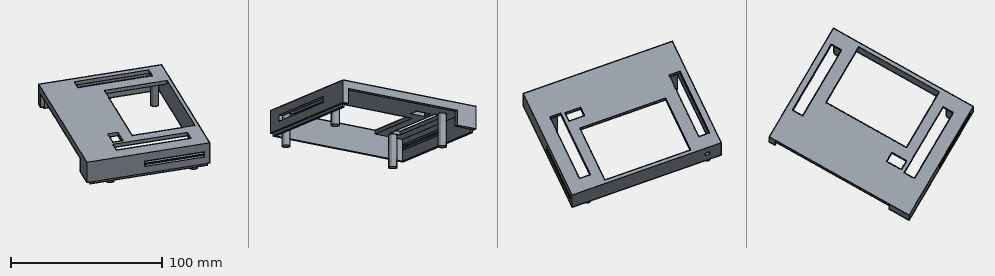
import cadquery as cq

LENGTH = 106.7
WIDTH = 85.1
SHELL_HEIGHT = 15.6
WALL = 2.7
PLATE = 2.7

LIP_SETBACK = 1.2
LIP_HEIGHT = 2.1

FRONT_OPENING_LEFT = 4.4
FRONT_OPENING_RIGHT = 91.5
FRONT_OPENING_DEPTH = 5.3

TOTAL_HEIGHT = 25.1
POST_DIAMETER = 5.5
POST_X = (7.6, 93.2)
POST_Y = (20.2, 77.9)

SLOT_WIDTH = 7.8
SLOT_LEFT_X = (4.2, 89.4)
SLOT_FRONT = 23.5
SLOT_BACK = 75.0
DISPLAY_LEFT = 20.8
DISPLAY_RIGHT = 82.1
DISPLAY_FRONT = 39.0
BUTTON_LEFT = 75.5
BUTTON_FRONT = 24.3
BUTTON_LENGTH = 11.2
BUTTON_WIDTH = 6.9

SIDE_SLOT_TOP = 5.7
SIDE_SLOT_BOTTOM = 9.8
SLIT_FRONT = 40.2
SLIT_BACK = 81.4
SLIT_HEIGHT = 1.4
SLIT_TOPS = (6.4, 8.9)

CABLE_HOLE_DIAMETER = 3.4
CABLE_HOLE_X = 9.9
CABLE_HOLE_DEPTH = 7.8


def block(x_range, y_range, depth_range):
    """Box between two x, two y and two depths below the top face."""
    x0, x1 = x_range
    y0, y1 = y_range
    top, bottom = depth_range
    size = (x1 - x0, y1 - y0, bottom - top)
    return cq.Workplane("XY").box(*size, centered=False).translate((x0, y0, -bottom))


def make_shell():
    lip_bottom = SHELL_HEIGHT + LIP_HEIGHT
    inside_x = (WALL, LENGTH - WALL)
    inside_y = (WALL, WIDTH - WALL)
    body = block((0, LENGTH), (0, WIDTH), (0, SHELL_HEIGHT))
    lip = block(
        (LIP_SETBACK, LENGTH - LIP_SETBACK),
        (WALL, WIDTH - LIP_SETBACK),
        (PLATE, lip_bottom),
    )
    cavity = block(inside_x, inside_y, (PLATE, lip_bottom))
    front_opening = block(
        (FRONT_OPENING_LEFT, FRONT_OPENING_RIGHT),
        (0, WALL),
        (FRONT_OPENING_DEPTH, SHELL_HEIGHT),
    )
    return body.union(lip).cut(cavity).cut(front_opening)


def cut_plate_windows(shell):
    through = (0, PLATE)
    for left in SLOT_LEFT_X:
        shell = shell.cut(block((left, left + SLOT_WIDTH), (SLOT_FRONT, SLOT_BACK), through))
    display = block((DISPLAY_LEFT, DISPLAY_RIGHT), (DISPLAY_FRONT, WIDTH - WALL), through)
    button = block(
        (BUTTON_LEFT, BUTTON_LEFT + BUTTON_LENGTH),
        (BUTTON_FRONT, BUTTON_FRONT + BUTTON_WIDTH),
        through,
    )
    return shell.cut(display).cut(button)


def cut_wall_openings(shell):
    side_slot = block((0, WALL), (SLOT_FRONT, SLOT_BACK), (SIDE_SLOT_TOP, SIDE_SLOT_BOTTOM))
    shell = shell.cut(side_slot)
    for top in SLIT_TOPS:
        slit = block((LENGTH - WALL, LENGTH), (SLIT_FRONT, SLIT_BACK), (top, top + SLIT_HEIGHT))
        shell = shell.cut(slit)
    cable_hole = (
        cq.Workplane("XZ", origin=(CABLE_HOLE_X, WIDTH, -CABLE_HOLE_DEPTH))
        .circle(CABLE_HOLE_DIAMETER / 2)
        .extrude(WALL)
    )
    return shell.cut(cable_hole)


def make_posts():
    return (
        cq.Workplane("XY", origin=(0, 0, -PLATE / 2))
        .pushPoints([(x, y) for x in POST_X for y in POST_Y])
        .circle(POST_DIAMETER / 2)
        .extrude(PLATE / 2 - TOTAL_HEIGHT)
    )


shell = cut_wall_openings(cut_plate_windows(make_shell()))
result = shell.union(make_posts())